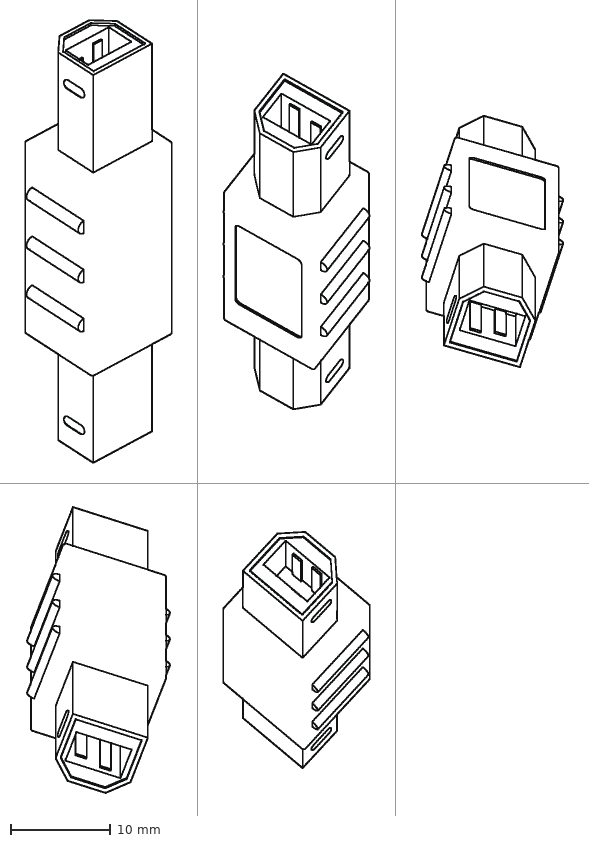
import cadquery as cq

total_length = 48.3
total_depth = 12.55

housing_width = 10.25
housing_depth = 11.0
housing_length = 24.0
housing_edge_radius = 0.3

rib_length = 7.75
rib_radius = (total_depth - housing_depth) / 2
rib_pitch = 6.1

label_depth = 0.2
label_width = 8.0
label_height = 14.7
label_corner_radius = 0.6

plug_width = 7.25
plug_depth = 8.0
plug_corner_cut = 2.0
plug_length = (total_length - housing_length) / 2
shell_wall = 0.5
rim_recess = 0.3
socket_width = 3.4
socket_depth = 5.9
socket_floor_depth = 8.7

contact_width = 1.15
contact_thickness = 0.2
contact_offset = 1.3
rear_contact_setback = 0.95
front_contact_setback = 2.0

nub_length = 3.0
nub_height = 1.05
nub_rise = 0.15
nub_edge_radius = 0.1
nub_x = 0.8
nub_from_end = 3.2


def make_housing():
    """Block with every edge rounded."""
    block = cq.Workplane("XY").box(housing_width, housing_depth, housing_length)
    return block.edges().fillet(housing_edge_radius)


def make_ribs():
    """Three round bars on each of two opposite faces, half sunk so half-rounds stand proud."""
    ribs = cq.Workplane("XY")
    for face_y in (-housing_depth / 2, housing_depth / 2):
        for step in (-1, 0, 1):
            bar = (
                cq.Workplane("YZ", origin=(-rib_length / 2, face_y, step * rib_pitch))
                .circle(rib_radius)
                .extrude(rib_length)
            )
            ribs = ribs.add(bar)
    return ribs.combine()


def make_label_recess():
    """Shallow rounded rectangle cut into the -X face."""
    return (
        cq.Workplane("YZ", origin=(-housing_width / 2, 0, 0))
        .rect(label_width, label_height)
        .extrude(label_depth)
        .edges("|X")
        .fillet(label_corner_radius)
    )


def plug_outline(z):
    """Rectangle with both -X corners cut off at 45 degrees."""
    half_width = plug_width / 2
    half_depth = plug_depth / 2
    points = [
        (half_width, -half_depth),
        (half_width, half_depth),
        (plug_corner_cut - half_width, half_depth),
        (-half_width, half_depth - plug_corner_cut),
        (-half_width, plug_corner_cut - half_depth),
        (plug_corner_cut - half_width, -half_depth),
    ]
    return cq.Workplane("XY", origin=(0, 0, z)).polyline(points).close()


def make_nub():
    """Latch nub on the +Y face of the upper plug, with a rounded outer edge."""
    nub_z = total_length / 2 - nub_from_end
    return (
        cq.Workplane("XZ", origin=(nub_x, plug_depth / 2 + nub_rise, nub_z))
        .slot2D(nub_length, nub_height)
        .extrude(nub_rise + shell_wall / 2)
        .faces(">Y")
        .edges()
        .fillet(nub_edge_radius)
    )


def make_contact(side, centre_y, setback):
    """Strip on the -X (side -1) or +X (side 1) socket wall, running down to the socket floor."""
    half_socket = socket_width / 2
    top_z = total_length / 2 - rim_recess - setback
    floor_z = total_length / 2 - socket_floor_depth
    return (
        cq.Workplane("XY", origin=(side * half_socket, centre_y, floor_z))
        .rect(2 * contact_thickness, contact_width)
        .extrude(top_z - floor_z)
    )


def make_upper_plug():
    """Plug shell with a sunken core, an open socket, four contacts and two latch nubs."""
    end_z = total_length / 2
    plug = plug_outline(end_z).extrude(-plug_length - housing_edge_radius)
    rim_cut = plug_outline(end_z).offset2D(-shell_wall, "intersection").extrude(-rim_recess)
    socket = (
        cq.Workplane("XY", origin=(0, 0, end_z))
        .rect(socket_width, socket_depth)
        .extrude(-socket_floor_depth)
    )
    nub = make_nub()
    plug = plug.union(nub).union(nub.mirror("XZ")).cut(rim_cut).cut(socket)
    for side in (-1, 1):
        plug = plug.union(make_contact(side, contact_offset, rear_contact_setback))
        plug = plug.union(make_contact(side, -contact_offset, front_contact_setback))
    return plug


upper_plug = make_upper_plug()
result = (
    make_housing()
    .union(make_ribs())
    .cut(make_label_recess())
    .union(upper_plug)
    .union(upper_plug.mirror("XY"))
)